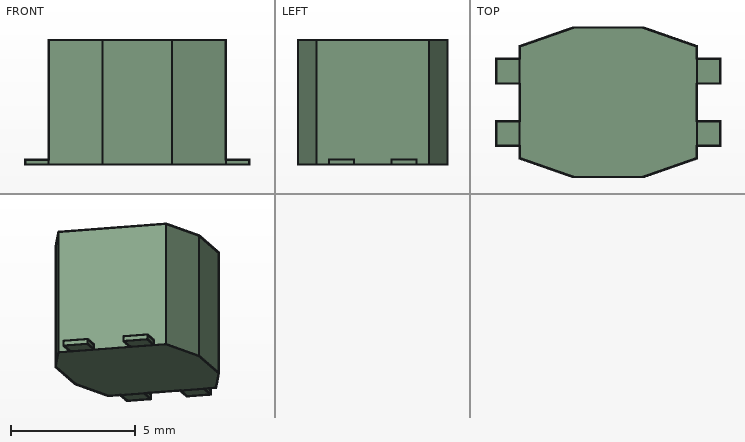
import cadquery as cq

overall_length = 9.0

housing_length = 7.1
housing_width = 6.0
housing_height = 5.0
side_flat_length = 2.8
end_flat_width = 4.5

terminal_width = 1.0
terminal_thickness = 0.2
terminal_pitch = 2.5
terminal_reach = (overall_length - housing_length) / 2


def make_housing():
    """Block with its four vertical edges cut off by slanted faces."""
    half_length = housing_length / 2
    half_width = housing_width / 2
    half_side_flat = side_flat_length / 2
    half_end_flat = end_flat_width / 2
    outline = [
        (half_length, -half_end_flat),
        (half_length, half_end_flat),
        (half_side_flat, half_width),
        (-half_side_flat, half_width),
        (-half_length, half_end_flat),
        (-half_length, -half_end_flat),
        (-half_side_flat, -half_width),
        (half_side_flat, -half_width),
    ]
    return cq.Workplane("XY").polyline(outline).close().extrude(housing_height)


def make_terminal(end, row):
    """Tab butted against the end face at -X or +X (end = -1 or 1), in row -1 or 1 along Y."""
    center_x = end * (housing_length + terminal_reach) / 2
    center_y = row * terminal_pitch / 2
    return (
        cq.Workplane("XY")
        .center(center_x, center_y)
        .rect(terminal_reach, terminal_width)
        .extrude(terminal_thickness)
    )


housing = make_housing()

terminals = []
for end in (-1, 1):
    for row in (-1, 1):
        terminals.append(make_terminal(end, row).val())

result = cq.Compound.makeCompound([housing.val(), *terminals])